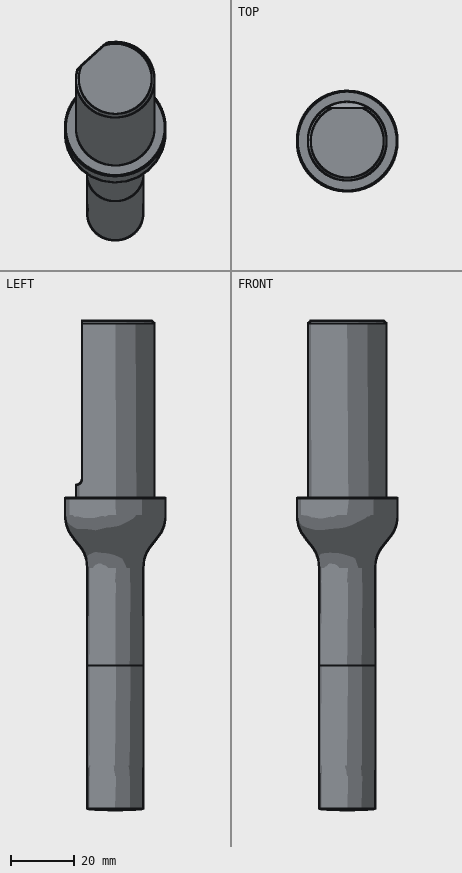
import cadquery as cq

total_height = 155.0
tip_chamfer_bottom = 0.3
tip_chamfer_top = 0.6
tip_top = 10.8
working_bottom = 14.1
working_top = 45.9
neck_bottom = 72.0
neck_top = 76.7
collar_bottom = 93.5
collar_top = 99.0
flat_bottom = 103.0

tip_diameter = 17.8
tip_face_diameter = 16.0
working_diameter = 18.0
neck_diameter = tip_diameter
collar_diameter = 32.0
shank_diameter = 25.0

shank_chamfer = 1.0
collar_chamfer = 0.3
flat_distance = 10.5

tip_radius = tip_diameter / 2
working_radius = working_diameter / 2
neck_radius = neck_diameter / 2
collar_radius = collar_diameter / 2
shank_radius = shank_diameter / 2
flat_depth = shank_radius - flat_distance


def make_tip():
    """Working cylinder with a tapered step to the tip and a blunt conical end."""
    profile = (
        cq.Workplane("XZ")
        .moveTo(0, 0)
        .lineTo(tip_face_diameter / 2, tip_chamfer_bottom)
        .lineTo(tip_radius, tip_chamfer_top)
        .lineTo(tip_radius, tip_top)
        .lineTo(working_radius, working_bottom)
        .lineTo(working_radius, working_top)
        .lineTo(0, working_top)
        .close()
    )
    return profile.revolve(360, (0, 0), (0, 1))


def blend_poles(start_radius, start_height, end_radius, end_height):
    """Poles of an S-shaped curve that is parallel to the axis at both ends."""
    middle_height = (start_height + end_height) / 2
    return [
        (start_radius, start_height),
        (start_radius, middle_height),
        (end_radius, middle_height),
        (end_radius, end_height),
    ]


def make_turned_holder():
    """Slightly tapered neck, bell-shaped flare, collar and cylindrical shank."""
    lower_blend = blend_poles(working_radius, working_top, neck_radius, neck_bottom)
    flare = blend_poles(neck_radius, neck_top, collar_radius, collar_bottom)
    profile = (
        cq.Workplane("XZ")
        .moveTo(0, working_top)
        .lineTo(working_radius, working_top)
        .bezier(lower_blend)
        .lineTo(neck_radius, neck_top)
        .bezier(flare)
        .lineTo(collar_radius, collar_top - collar_chamfer)
        .lineTo(collar_radius - collar_chamfer, collar_top)
        .lineTo(shank_radius, collar_top)
        .lineTo(shank_radius, total_height - shank_chamfer)
        .lineTo(shank_radius - shank_chamfer, total_height)
        .lineTo(0, total_height)
        .close()
    )
    return profile.revolve(360, (0, 0), (0, 1))


def make_flat_cutter():
    """Material removed for the shank flat, rounded where it runs out."""
    return (
        cq.Workplane("YZ")
        .moveTo(flat_distance, total_height)
        .lineTo(flat_distance, flat_bottom + flat_depth)
        .radiusArc((shank_radius, flat_bottom), -flat_depth)
        .lineTo(shank_radius, total_height)
        .close()
        .extrude(shank_radius, both=True)
    )


tip = make_tip()
holder = make_turned_holder().cut(make_flat_cutter())

result = cq.Compound.makeCompound([tip.val(), holder.val()])